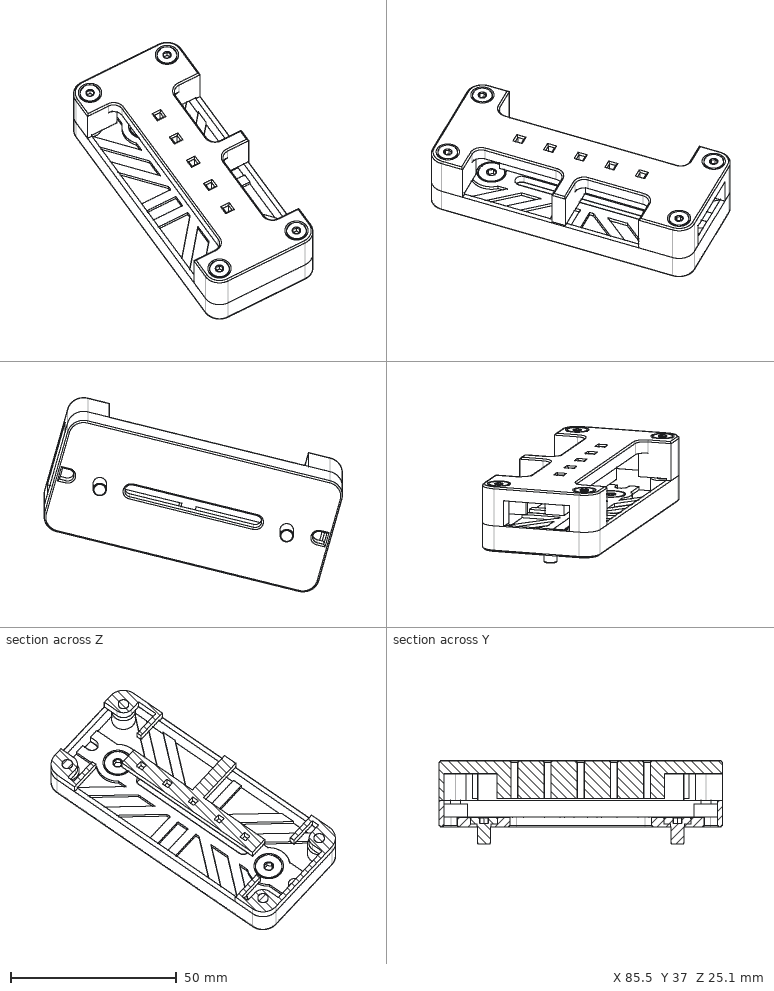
import cadquery as cq
import math

LENGTH = 85.5
WIDTH = 37.0
TOTAL_HEIGHT = 20.0
BASE_HEIGHT = 8.0
CORNER_RADIUS = 5.0
EDGE_CHAMFER = 0.5
WALL = 1.5

FLOOR = 3.0
BASE_BOSS_RADIUS = 3.6
BASE_BOSS_DROP = 1.0
RELIEF_DEPTH = 1.0
RELIEF_INNER_Y = 5.0
RELIEF_PIN_RADIUS = 6.5
CENTRE_POCKET_WIDTH = 3.9
FLOOR_RIB_WIDTH = 3.0
FLOOR_RIB_ANGLE = 50.0
FLOOR_RIB_STARTS = (6.2, 17.3)
CENTRE_SLOT_SPAN = 38.65
CENTRE_SLOT_WIDTH = 3.9
END_SLOT_X = 39.2
END_SLOT_WIDTH = 3.8

ROOF = 4.0
HANGING_GAP = 0.5
COVER_BOSS_RADIUS = 3.12
CUTOUT_RADIUS = 3.0
CUTOUT_INNER_Y = 8.1
FRONT_CUTOUT_X = (-31.0, 31.0)
BACK_LEFT_CUTOUT_X = (-26.7, -2.7)
BACK_RIGHT_CUTOUT_X = (1.7, 30.9)
BAR_LENGTH = 50.6
BAR_WIDTH = 6.0
LIGHT_WINDOW_COUNT = 5
LIGHT_WINDOW_PITCH = 10.0
LIGHT_WINDOW_SIZE = 2.0

SCREW_INSET = CORNER_RADIUS
SCREW_DIAMETER = 3.0
SCREW_HEAD_DIAMETER = 6.0
SCREW_SOCKET_FLATS = 2.0
SCREW_SOCKET_MOUTH = 2.6
PIN_X = 29.15
PIN_DIAMETER = 4.0
PIN_HEAD_DIAMETER = 8.0
PIN_SOCKET_FLATS = 2.5
PIN_SOCKET_MOUTH = 3.0
PIN_PROTRUSION = 5.1
PIN_RECESS_CHAMFER = 0.4
HEAD_HEIGHT = 2.0
SOCKET_DEPTH = 1.9
TIP_CHAMFER = 0.25

INNER_X = LENGTH / 2 - WALL
INNER_Y = WIDTH / 2 - WALL
CEILING_Z = TOTAL_HEIGHT - ROOF
HANGING_Z = BASE_HEIGHT + HANGING_GAP
BASE_BOSS_TOP_Z = BASE_HEIGHT - BASE_BOSS_DROP
RELIEF_Z = FLOOR - RELIEF_DEPTH
SCREW_X = LENGTH / 2 - SCREW_INSET
SCREW_Y = WIDTH / 2 - SCREW_INSET
SCREW_POINTS = [(side_x * SCREW_X, side_y * SCREW_Y) for side_x in (-1, 1) for side_y in (-1, 1)]
PIN_POINTS = [(-PIN_X, 0), (PIN_X, 0)]
END_WINDOW_Y = SCREW_Y - COVER_BOSS_RADIUS
POST_X = (BACK_LEFT_CUTOUT_X[1], BACK_RIGHT_CUTOUT_X[0])


def box(x_range, y_range, z_range):
    """Box filling the given X, Y and Z ranges."""
    (x0, x1), (y0, y1), (z0, z1) = x_range, y_range, z_range
    return cq.Workplane("XY", origin=(x0, y0, z0)).box(x1 - x0, y1 - y0, z1 - z0, centered=False)


def rounded_block(length, width, radius, z0, z1):
    """Centred block with rounded upright corners."""
    block = cq.Workplane("XY", origin=(0, 0, z0)).rect(length, width).extrude(z1 - z0)
    return block.edges("|Z").fillet(radius)


def cylinders(points, diameter, z0, z1):
    """Upright cylinders at the given points."""
    return cq.Workplane("XY", origin=(0, 0, z0)).pushPoints(points).circle(diameter / 2).extrude(z1 - z0)


def countersinks(points, diameter, chamfer, top_z):
    """45-degree cones that widen a hole of the given diameter up to top_z."""
    cone = cq.Solid.makeCone(diameter / 2, diameter / 2 + chamfer, chamfer)
    places = cq.Workplane("XY", origin=(0, 0, top_z - chamfer)).pushPoints(points)
    return places.eachpoint(lambda place: cone.moved(place), combine=True)


def outer_block(z0, z1):
    return rounded_block(LENGTH, WIDTH, CORNER_RADIUS, z0, z1)


def inner_block(z0, z1):
    """Space enclosed by the outer walls."""
    return rounded_block(2 * INNER_X, 2 * INNER_Y, CORNER_RADIUS - WALL, z0, z1)


def floor_slots():
    """Long centre slot and a short slot running to each end wall."""
    slot_length = CENTRE_SLOT_SPAN + CENTRE_SLOT_WIDTH
    slots = cq.Workplane("XY").slot2D(slot_length, CENTRE_SLOT_WIDTH).extrude(FLOOR)
    half_width = END_SLOT_WIDTH / 2
    end_slot = box((END_SLOT_X, INNER_X), (-half_width, half_width), (0, FLOOR))
    end_slot = end_slot.union(cylinders([(END_SLOT_X, 0)], END_SLOT_WIDTH, 0, FLOOR))
    return slots.union(end_slot).union(end_slot.mirror("YZ"))


def slanted_floor_rib(start):
    """Rib that leans outward from the inner relief edge to the side wall."""
    angle = math.radians(FLOOR_RIB_ANGLE)
    width_along_x = FLOOR_RIB_WIDTH / math.cos(angle)
    lean = (INNER_Y - RELIEF_INNER_Y) * math.tan(angle)
    corners = [
        (start, RELIEF_INNER_Y),
        (start + width_along_x, RELIEF_INNER_Y),
        (start + width_along_x + lean, INNER_Y),
        (start + lean, INNER_Y),
    ]
    return cq.Workplane("XY", origin=(0, 0, RELIEF_Z)).polyline(corners).close().extrude(RELIEF_DEPTH)


def floor_relief():
    """Shallow floor pockets between the ribs, the same in all four quarters."""
    y_range, z_range = (RELIEF_INNER_Y, INNER_Y), (RELIEF_Z, FLOOR)
    straight_start = CENTRE_POCKET_WIDTH / 2
    quarter = box((0, INNER_X), y_range, z_range)
    quarter = quarter.cut(box((straight_start, straight_start + FLOOR_RIB_WIDTH), y_range, z_range))
    for start in FLOOR_RIB_STARTS:
        quarter = quarter.cut(slanted_floor_rib(start))
    quarter = quarter.cut(cylinders(PIN_POINTS, 2 * RELIEF_PIN_RADIUS, *z_range))
    half = quarter.union(quarter.mirror("YZ"))
    relief = half.union(half.mirror("XZ"))
    relief = relief.intersect(inner_block(*z_range))
    return relief.cut(cylinders(SCREW_POINTS, 2 * BASE_BOSS_RADIUS, *z_range))


def make_base():
    """Open tray with screw bosses, slotted floor and recessed pin heads."""
    bosses = cylinders(SCREW_POINTS, 2 * BASE_BOSS_RADIUS, FLOOR, BASE_BOSS_TOP_Z)
    base = outer_block(0, BASE_HEIGHT)
    base = base.cut(inner_block(FLOOR, BASE_HEIGHT).cut(bosses))
    base = base.cut(floor_slots())
    base = base.faces("<Z").edges().chamfer(EDGE_CHAMFER)
    base = base.cut(floor_relief())
    base = base.cut(cylinders(SCREW_POINTS, SCREW_DIAMETER, FLOOR, BASE_HEIGHT))
    base = base.cut(cylinders(PIN_POINTS, PIN_DIAMETER, 0, FLOOR))
    base = base.cut(cylinders(PIN_POINTS, PIN_HEAD_DIAMETER, FLOOR - HEAD_HEIGHT, FLOOR))
    return base.cut(countersinks(PIN_POINTS, PIN_HEAD_DIAMETER, PIN_RECESS_CHAMFER, FLOOR))


def cover_bosses():
    """Screw bosses: a round post joined squarely to both outer walls in each corner."""
    z_range = (BASE_HEIGHT, CEILING_Z)
    bosses = cylinders(SCREW_POINTS, 2 * COVER_BOSS_RADIUS, *z_range)
    for x, y in SCREW_POINTS:
        wall_x = math.copysign(INNER_X, x)
        wall_y = math.copysign(INNER_Y, y)
        boss_side_x = x - math.copysign(COVER_BOSS_RADIUS, x)
        boss_side_y = y - math.copysign(COVER_BOSS_RADIUS, y)
        bosses = bosses.union(box(sorted((x, wall_x)), sorted((boss_side_y, wall_y)), z_range))
        bosses = bosses.union(box(sorted((boss_side_x, wall_x)), sorted((y, wall_y)), z_range))
    return bosses


def back_cutout(x_range):
    """Opening through the roof and the back wall, with two rounded inner corners."""
    opening = box(x_range, (CUTOUT_INNER_Y, WIDTH), (BASE_HEIGHT, TOTAL_HEIGHT))
    return opening.edges("|Z and <Y").fillet(CUTOUT_RADIUS)


def side_cutouts():
    front = back_cutout(FRONT_CUTOUT_X).mirror("XZ")
    return front.union(back_cutout(BACK_LEFT_CUTOUT_X)).union(back_cutout(BACK_RIGHT_CUTOUT_X))


def hanging_walls():
    """Walls, bar and post that hang from the roof and stop just above the base rim."""
    z_range = (HANGING_Z, CEILING_Z)
    front_y, back_y = (-INNER_Y, -CUTOUT_INNER_Y), (CUTOUT_INNER_Y, INNER_Y)
    half_bar_length, half_bar_width = BAR_LENGTH / 2, BAR_WIDTH / 2
    walls = box((-half_bar_length, half_bar_length), (-half_bar_width, half_bar_width), z_range)
    walls = walls.union(box(POST_X, (half_bar_width, WIDTH / 2), z_range))
    for left, right, y_range in (
        (*FRONT_CUTOUT_X, front_y),
        (BACK_LEFT_CUTOUT_X[0], BACK_RIGHT_CUTOUT_X[1], back_y),
    ):
        walls = walls.union(box((left - WALL, left), y_range, z_range))
        walls = walls.union(box((right, right + WALL), y_range, z_range))
    return walls


def light_windows():
    """Row of square through holes with chamfered mouths."""
    places = cq.Workplane("XY", origin=(0, 0, TOTAL_HEIGHT))
    places = places.rarray(LIGHT_WINDOW_PITCH, 0.85, LIGHT_WINDOW_COUNT, 1)
    mouth = LIGHT_WINDOW_SIZE + 2 * EDGE_CHAMFER
    holes = places.rect(LIGHT_WINDOW_SIZE, LIGHT_WINDOW_SIZE).extrude(BASE_HEIGHT - TOTAL_HEIGHT)
    return holes.union(places.rect(mouth, mouth).extrude(-EDGE_CHAMFER, taper=45))


def make_cover():
    """Roof on walled corners, with side cut-outs, light windows and an opening in the -X wall."""
    cover = outer_block(BASE_HEIGHT, TOTAL_HEIGHT)
    cover = cover.cut(inner_block(BASE_HEIGHT, CEILING_Z).cut(cover_bosses()))
    cover = cover.cut(side_cutouts())
    cover = cover.cut(box(POST_X, (INNER_Y, WIDTH / 2), (BASE_HEIGHT, HANGING_Z)))
    cover = cover.faces(">Z").edges().chamfer(EDGE_CHAMFER)
    cover = cover.union(hanging_walls())
    cover = cover.cut(light_windows())
    end_window = box(
        (-LENGTH / 2, -INNER_X), (-END_WINDOW_Y, END_WINDOW_Y), (BASE_HEIGHT, CEILING_Z)
    )
    cover = cover.cut(end_window)
    cover = cover.cut(cylinders(SCREW_POINTS, SCREW_DIAMETER, BASE_HEIGHT, TOTAL_HEIGHT))
    cover = cover.cut(
        cylinders(SCREW_POINTS, SCREW_HEAD_DIAMETER, TOTAL_HEIGHT - HEAD_HEIGHT, TOTAL_HEIGHT)
    )
    return cover.cut(countersinks(SCREW_POINTS, SCREW_HEAD_DIAMETER, EDGE_CHAMFER, TOTAL_HEIGHT))


def make_fastener(point, head_diameter, shank_diameter, flats, mouth, bottom_z, top_z):
    """Cylindrical head and shank, with a countersunk hexagon socket."""
    shank = cylinders([point], shank_diameter, bottom_z, top_z - HEAD_HEIGHT)
    shank = shank.faces("<Z").edges().chamfer(TIP_CHAMFER)
    body = shank.union(cylinders([point], head_diameter, top_z - HEAD_HEIGHT, top_z))
    across_corners = flats / math.cos(math.pi / 6)
    socket = cq.Workplane("XY").polygon(6, across_corners).extrude(-SOCKET_DEPTH)
    socket = socket.rotate((0, 0, 0), (0, 0, 1), 30).translate((*point, top_z))
    body = body.cut(socket)
    return body.cut(countersinks([point], flats, (mouth - flats) / 2, top_z))


def make_screw(point):
    """Cover screw, head flush with the roof and tip at the base floor."""
    return make_fastener(
        point, SCREW_HEAD_DIAMETER, SCREW_DIAMETER, SCREW_SOCKET_FLATS, SCREW_SOCKET_MOUTH,
        FLOOR, TOTAL_HEIGHT,
    )


def make_pin(point):
    """Mounting pin, head flush with the floor and shank standing out below the base."""
    return make_fastener(
        point, PIN_HEAD_DIAMETER, PIN_DIAMETER, PIN_SOCKET_FLATS, PIN_SOCKET_MOUTH,
        -PIN_PROTRUSION, FLOOR,
    )


base = make_base()
cover = make_cover()
screws = [make_screw(point).val() for point in SCREW_POINTS]
pins = [make_pin(point).val() for point in PIN_POINTS]
result = cq.Compound.makeCompound([base.val(), cover.val(), *screws, *pins])